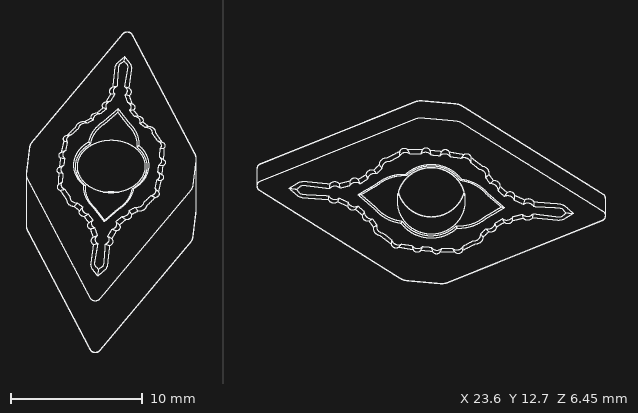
import cadquery as cq
import math


LENGTH_X = 23.65
WIDTH_Y = 12.7
HEIGHT_Z = 6.45

NOSE_ANGLE = 55.0
HALF_NOSE = math.radians(NOSE_ANGLE / 2)
BLUNT_CORNER_RADIUS = 1.2
HOLE_DIAMETER = 5.15

LAND_HEIGHT = 0.15
LAND_TOP = HEIGHT_Z / 2
BODY_TOP = LAND_TOP - LAND_HEIGHT

FOOT_NOSE = [(10.84, 0.0), (10.1, 0.55), (9.77, 0.65)]
CREST_NOSE = [(10.27, 0.0), (9.95, 0.3), (9.7, 0.35)]
BUMP_CHORDS = [
    ((7.78, 0.62), (7.07, 0.7)),
    ((6.27, 1.0), (5.68, 1.15)),
    ((5.1, 1.59), (4.57, 1.99)),
    ((4.19, 2.44), (3.65, 3.03)),
    ((2.72, 3.62), (2.15, 3.8)),
    ((1.02, 3.9), (0.45, 3.9)),
]
FOOT_BUMP_RISE = 0.17
CREST_BUMP_RISE = 0.2
CREST_BUMP_HALF_WIDTH = 0.4
BUMP_WALL_RUN = 0.33

EYE_DEPTH = 0.15
EYE_WALL_TAPER = 45.0
EYE_RING_RADIUS = 2.86
EYE_RING_END_ANGLE = math.radians(42)
EYE_LOBE_MID = (3.31, 1.63)
EYE_LOBE_END = (4.25, 0.97)
EYE_TIP = (5.58, 0.0)

DIAGONAL_TILT = -NOSE_ANGLE / 2

JOIN_TOLERANCE = 2.37e-07


def make_body():
    """Rhombic prism with rounded noses and flattened blunt corners."""
    side = WIDTH_Y / math.sin(2 * HALF_NOSE)
    half_long = side * math.cos(HALF_NOSE)
    half_short = side * math.sin(HALF_NOSE)
    sharp_length = 2 * half_long * math.cos(HALF_NOSE)
    nose_radius = (sharp_length - LENGTH_X) / 2 / (1 / math.tan(HALF_NOSE) - 1)
    flat_v = WIDTH_Y / 2
    flat_u = (half_short - flat_v) / math.tan(HALF_NOSE)
    outline = [
        (half_long, 0),
        (flat_u, flat_v),
        (-flat_u, flat_v),
        (-half_long, 0),
        (-flat_u, -flat_v),
        (flat_u, -flat_v),
    ]
    body = cq.Workplane("XY").polyline(outline).close().extrude(BODY_TOP, both=True)
    body = body.edges("|Z").edges("<X or >X").fillet(nose_radius)
    blunt_corners = cq.selectors.BoxSelector(
        (-2 * flat_u, -WIDTH_Y, -LAND_TOP), (2 * flat_u, WIDTH_Y, LAND_TOP)
    )
    return body.edges("|Z").edges(blunt_corners).fillet(BLUNT_CORNER_RADIUS)


def bump_arc(chord, inset, half_width, rise):
    """Start, peak and end of a bump, set back from its foot chord by inset."""
    (u1, v1), (u2, v2) = chord
    chord_length = math.hypot(u2 - u1, v2 - v1)
    along = ((u2 - u1) / chord_length, (v2 - v1) / chord_length)
    outward = (along[1], -along[0])
    if half_width is None:
        half_width = chord_length / 2
    mid_u = (u1 + u2) / 2
    mid_v = (v1 + v2) / 2

    def place(distance_along, distance_out):
        return (
            mid_u + distance_along * along[0] + distance_out * outward[0],
            mid_v + distance_along * along[1] + distance_out * outward[1],
        )

    return [place(-half_width, -inset), place(0, rise - inset), place(half_width, -inset)]


def mirrored(segments, sign_u, sign_v):
    """Mirror a chain of segments about one diagonal and reverse its direction."""
    return [[(sign_u * u, sign_v * v) for u, v in reversed(segment)] for segment in reversed(segments)]


def closed_outline(quarter):
    """Complete a quarter outline about both diagonals, closing gaps with lines."""
    half = quarter + mirrored(quarter, -1, 1)
    return half + mirrored(half, 1, -1)


def wire_from(segments, z):
    """Closed wire through lines (2 points) and arcs (3 points), joined by lines."""
    edges = []
    for index, segment in enumerate(segments):
        points = [cq.Vector(u, v, z) for u, v in segment]
        if len(points) == 3:
            edges.append(cq.Edge.makeThreePointArc(*points))
        else:
            edges.append(cq.Edge.makeLine(*points))
        next_u, next_v = segments[(index + 1) % len(segments)][0]
        next_point = cq.Vector(next_u, next_v, z)
        if (next_point - points[-1]).Length > JOIN_TOLERANCE:
            edges.append(cq.Edge.makeLine(points[-1], next_point))
    return cq.Wire.assembleEdges(edges)


def land_wire(nose, inset, half_width, rise, z):
    """Outline of the land at height z."""
    nose_lines = [list(pair) for pair in zip(nose, nose[1:])]
    bumps = [bump_arc(chord, inset, half_width, rise) for chord in BUMP_CHORDS]
    return wire_from(closed_outline(nose_lines + bumps), z)


def make_land():
    """Raised land with a sloping, bumpy wall."""
    foot = land_wire(FOOT_NOSE, 0, None, FOOT_BUMP_RISE, BODY_TOP)
    crest = land_wire(CREST_NOSE, BUMP_WALL_RUN, CREST_BUMP_HALF_WIDTH, CREST_BUMP_RISE, LAND_TOP)
    return cq.Workplane(cq.Solid.makeLoft([foot, crest], True))


def make_eye_recess():
    """Cutter for the recess: a ring around the hole with a pointed lobe at each end."""
    ring_end = (
        EYE_RING_RADIUS * math.cos(EYE_RING_END_ANGLE),
        EYE_RING_RADIUS * math.sin(EYE_RING_END_ANGLE),
    )
    lobe = [[EYE_TIP, EYE_LOBE_END], [EYE_LOBE_END, EYE_LOBE_MID, ring_end]]
    ring = [[ring_end, (0, EYE_RING_RADIUS), (-ring_end[0], ring_end[1])]]
    half = lobe + ring + mirrored(lobe, -1, 1)
    outline = wire_from(half + mirrored(half, 1, -1), LAND_TOP)
    return cq.Workplane("XY").add(outline).toPending().extrude(-EYE_DEPTH, taper=EYE_WALL_TAPER)


upper_land = make_land().cut(make_eye_recess())
lower_land = upper_land.mirror("XY")
hole = cq.Workplane("XY").workplane(offset=-LAND_TOP).circle(HOLE_DIAMETER / 2).extrude(HEIGHT_Z)

insert = make_body().union(upper_land).union(lower_land).cut(hole)
result = insert.rotate((0, 0, 0), (0, 0, 1), DIAGONAL_TILT)